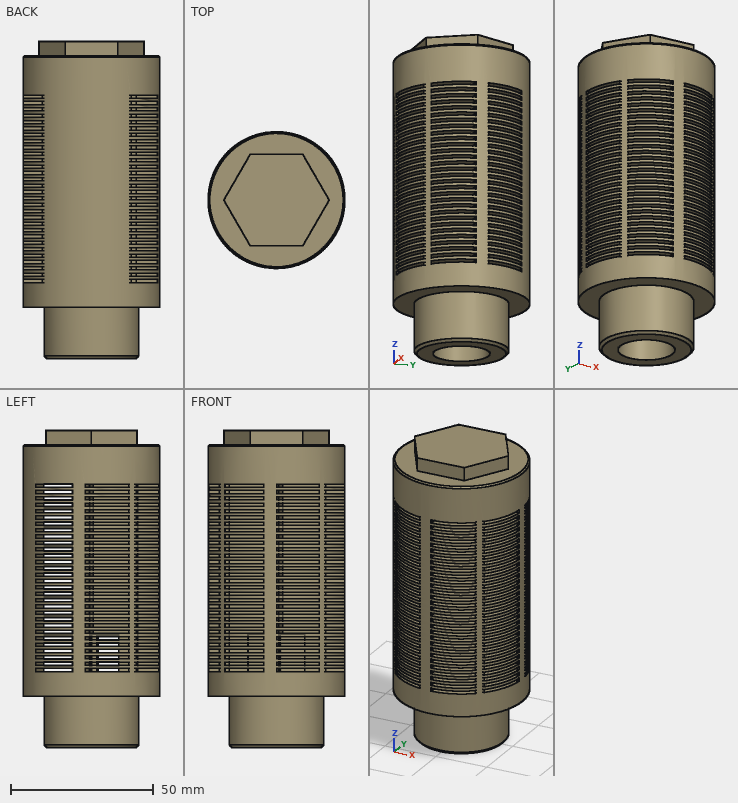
import cadquery as cq
import math

total_height = 111.27
housing_radius = 24.0
housing_bottom = 18.0
hex_height = 5.0
hex_across_flats = 32.0
rim_chamfer = 0.6
housing_top = total_height - hex_height

connector_radius = 16.65
connector_chamfer = 1.0
bore_radius = 10.0
bore_depth = 40.0
axial_web_half_width = 2.3
cross_web_half_width = 0.9

slot_rows = 30
slot_pitch = 2.23
slot_height = 1.1
first_slot = 26.7
slots_top = first_slot + (slot_rows - 1) * slot_pitch + slot_height

symmetry_axis = 264.7
rib_spacing = 95.4
rib_angles = (-rib_spacing, 0, rib_spacing)
rib_half_width = 2.3
cut_margin = 1.0


def radial_bar(angle, half_width, bottom, height):
    """Straight bar from the centre outwards, along an angle from the symmetry axis."""
    length = housing_radius + cut_margin
    bar = cq.Workplane("XY", origin=(0, 0, bottom)).rect(length, 2 * half_width).extrude(height)
    return bar.translate((length / 2, 0, 0)).rotate((0, 0, 0), (0, 0, 1), symmetry_axis + angle)


def make_slot_row():
    """Lowest slot row: around each rib a straight cut as wide as the cavity, with the rib left standing."""
    row = cq.Workplane("XY")
    for angle in rib_angles:
        row = row.union(radial_bar(angle, connector_radius, first_slot, slot_height))
    for angle in rib_angles:
        row = row.cut(radial_bar(angle, rib_half_width, first_slot, slot_height))
    return row


def make_housing():
    """Hollow cylinder with a closed, hexagon-topped end and rows of slots."""
    shell = (
        cq.Workplane("XY", origin=(0, 0, housing_bottom))
        .circle(housing_radius)
        .extrude(housing_top - housing_bottom)
        .faces(">Z")
        .chamfer(rim_chamfer)
    )
    hex_across_corners = hex_across_flats / math.cos(math.pi / 6)
    cap = cq.Workplane("XY", origin=(0, 0, housing_top)).polygon(6, hex_across_corners).extrude(hex_height)
    cavity = (
        cq.Workplane("XY", origin=(0, 0, housing_bottom))
        .circle(connector_radius)
        .extrude(slots_top - housing_bottom)
    )
    row = make_slot_row()
    slots = [row.translate((0, 0, i * slot_pitch)).val() for i in range(slot_rows)]
    body = shell.union(cap).cut(cavity)
    return body.cut(cq.Workplane(cq.Compound.makeCompound(slots)))


def make_connector():
    """Spigot that plugs the housing, with a T of three webs standing in the cavity."""
    spigot = (
        cq.Workplane("XY")
        .circle(connector_radius)
        .extrude(first_slot)
        .faces("<Z")
        .chamfer(connector_chamfer)
    )
    web_height = slots_top - first_slot
    webs = radial_bar(0, axial_web_half_width, first_slot, web_height)
    for angle in (-90, 90):
        webs = webs.union(radial_bar(angle, cross_web_half_width, first_slot, web_height))
    cavity = cq.Workplane("XY", origin=(0, 0, first_slot)).circle(connector_radius).extrude(web_height)
    bore = cq.Workplane("XY").circle(bore_radius).extrude(bore_depth)
    return spigot.union(webs.intersect(cavity)).cut(bore)


housing = make_housing()
connector = make_connector()

result = cq.Compound.makeCompound([housing.val(), connector.val()])